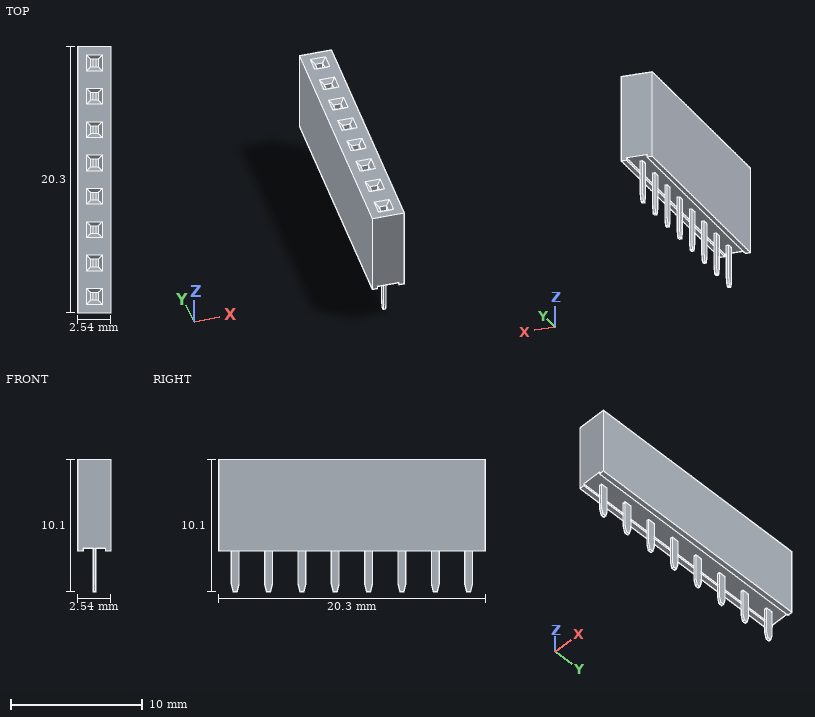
import cadquery as cq

contact_count = 8
length = 20.32
pitch = length / contact_count
width = pitch
housing_height = 7.0
overall_height = 10.1

rail_width = 0.43
channel_depth = 0.2

funnel_size = 1.2
hole_size = 0.59
funnel_depth = 0.3
hole_depth = 2.03

pin_thickness = 0.2
pin_width = 0.6
pin_length = overall_height - housing_height
tip_width = 0.3
tip_length = 0.6
blade_top_height = 0.2

contact_positions = [(i - (contact_count - 1) / 2) * pitch for i in range(contact_count)]


def make_housing():
    """Block standing on Z = 0 with the channel cut through its underside."""
    block = cq.Workplane("XY").box(width, length, housing_height, centered=(True, True, False))
    channel = cq.Workplane("XY").box(
        width - 2 * rail_width, length, channel_depth, centered=(True, True, False)
    )
    return block.cut(channel)


def make_socket(y):
    """Funnel and square hole sunk from the top face."""
    funnel = (
        cq.Workplane("XY", origin=(0, y, housing_height))
        .rect(funnel_size, funnel_size)
        .workplane(offset=-funnel_depth)
        .rect(hole_size, hole_size)
        .loft(ruled=True)
    )
    hole = cq.Workplane("XY", origin=(0, y, housing_height - hole_depth)).box(
        hole_size, hole_size, hole_depth, centered=(True, True, False)
    )
    return funnel.union(hole)


def make_pin(y):
    """Blade from the tapered tip up to the blade end standing in the socket."""
    half_width = pin_width / 2
    half_tip = tip_width / 2
    socket_floor = housing_height - hole_depth
    blade_top = socket_floor + blade_top_height
    outline = [
        (half_tip, -pin_length),
        (half_width, tip_length - pin_length),
        (half_width, blade_top),
    ]
    mirrored = [(-across, z) for across, z in reversed(outline)]
    return (
        cq.Workplane("YZ", origin=(0, y, 0))
        .polyline(outline + mirrored)
        .close()
        .extrude(pin_thickness / 2, both=True)
    )


result = make_housing()
for y in contact_positions:
    result = result.cut(make_socket(y)).union(make_pin(y))